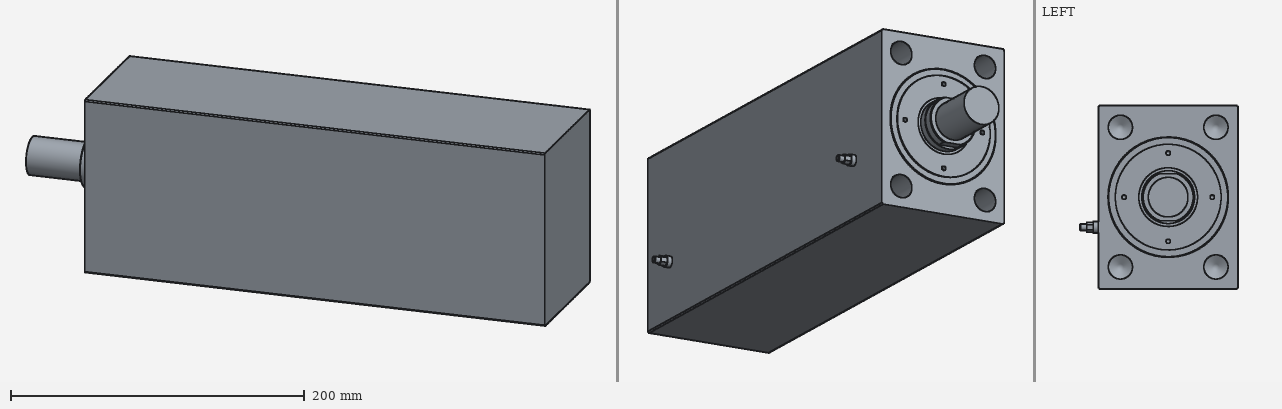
import cadquery as cq
import math


block_length = 331.0
block_width = 95.0
block_height = 125.0
block_edge_chamfer = 1.0

mount_hole_dia = 16.5
mount_hole_depth = 30.0
mount_spacing_y = 65.0
mount_spacing_z = 95.0
drill_tip_angle = 118.0

gland_dia = 82.0
gland_depth = 20.0
gland_rim_chamfer = 0.5
gland_boss_dia = 72.0
gland_boss_height = 1.0
spanner_hole_dia = 3.0
spanner_hole_depth = 5.0
spanner_circle_dia = 60.0
spanner_hole_count = 4

wiper_dia = 40.0
wiper_depth = 5.0

rod_dia = 36.0
rod_reach = 54.0
rod_end_dia = 27.0
rod_end_length = 40.0
rod_neck_dia = 35.0
rod_neck_length = 7.0
rod_neck_chamfer = 0.5
flats_across = 32.0

screw_positions_x = (40.0, 300.0)
screw_z = -20.5
screw_collar_dia = 8.0
screw_collar_height = 3.5
screw_hex_across_flats = 6.0
screw_hex_height = 4.5
screw_tip_dia = 4.5
screw_tip_height = 4.5
screw_tip_chamfer = 0.5

boss_face_x = -gland_boss_height
wiper_end_x = boss_face_x + wiper_depth
rod_tip_x = -rod_reach
rod_neck_x = rod_tip_x + rod_end_length
rod_neck_end_x = rod_neck_x + rod_neck_length


def cylinder_x(diameter, start_x, end_x):
    """Cylinder on the X axis between two X positions."""
    return cq.Workplane("YZ", origin=(start_x, 0, 0)).circle(diameter / 2).extrude(end_x - start_x)


def make_drill(diameter, depth):
    """Blind-hole cutter with a conical end, pointing along +X from the origin."""
    radius = diameter / 2
    tip_length = radius / math.tan(math.radians(drill_tip_angle / 2))
    return (
        cq.Workplane("XY")
        .polyline([
            (0, 0),
            (0, radius),
            (depth, radius),
            (depth + tip_length, 0),
        ])
        .close()
        .revolve(360, (0, 0, 0), (1, 0, 0))
    )


def make_block():
    """Rectangular block with a round pocket for the gland."""
    block = (
        cq.Workplane("XY")
        .box(block_length, block_width, block_height, centered=(False, True, True))
        .edges("|X")
        .chamfer(block_edge_chamfer)
    )
    block = block.cut(cylinder_x(gland_dia, 0, gland_depth))
    drill = make_drill(mount_hole_dia, mount_hole_depth)
    for side_y in (-1, 1):
        for side_z in (-1, 1):
            place = (0, side_y * mount_spacing_y / 2, side_z * mount_spacing_z / 2)
            block = block.cut(drill.translate(place))
    return block


def make_gland():
    """Chamfered plug with a low front boss, a rod bore, a wiper recess and spanner holes."""
    plug = cylinder_x(gland_dia, 0, gland_depth).faces("<X").chamfer(gland_rim_chamfer)
    boss = cylinder_x(gland_boss_dia, boss_face_x, 0)
    gland = (
        plug.union(boss)
        .cut(cylinder_x(rod_dia, boss_face_x, gland_depth))
        .cut(cylinder_x(wiper_dia, boss_face_x, wiper_end_x))
    )
    drill = make_drill(spanner_hole_dia, spanner_hole_depth)
    drill = drill.translate((boss_face_x, spanner_circle_dia / 2, 0))
    for index in range(spanner_hole_count):
        angle = index * 360 / spanner_hole_count
        gland = gland.cut(drill.rotate((0, 0, 0), (1, 0, 0), angle))
    return gland


def make_wiper():
    """Wiper ring around the rod, flush with the boss face."""
    ring = cylinder_x(wiper_dia, boss_face_x, wiper_end_x)
    return ring.cut(cylinder_x(rod_dia, boss_face_x, wiper_end_x))


def make_rod():
    """Rod with a chamfered neck carrying two spanner flats, and a thinner end."""
    shaft = cylinder_x(rod_dia, rod_neck_end_x, gland_depth)
    neck = cylinder_x(rod_neck_dia, rod_neck_x, rod_neck_end_x).faces("<X").chamfer(rod_neck_chamfer)
    flats_limit = (
        cq.Workplane("YZ", origin=(rod_neck_x, 0, 0))
        .rect(rod_neck_dia, flats_across)
        .extrude(rod_neck_length)
    )
    rod_end = cylinder_x(rod_end_dia, rod_tip_x, rod_neck_x)
    return shaft.union(neck.intersect(flats_limit)).union(rod_end)


def make_bleed_screw(position_x):
    """Bleed screw on the +Y side: round collar, hexagon and chamfered tip."""
    hex_base = screw_collar_height
    tip_base = hex_base + screw_hex_height
    collar = cq.Workplane("XY").circle(screw_collar_dia / 2).extrude(hex_base)
    hexagon = (
        cq.Workplane("XY", origin=(0, 0, hex_base))
        .polygon(6, screw_hex_across_flats, circumscribed=True)
        .extrude(screw_hex_height)
    )
    tip = (
        cq.Workplane("XY", origin=(0, 0, tip_base))
        .circle(screw_tip_dia / 2)
        .extrude(screw_tip_height)
        .faces(">Z")
        .chamfer(screw_tip_chamfer)
    )
    upright = collar.union(hexagon).union(tip)
    pointing_y = upright.rotate((0, 0, 0), (1, 0, 0), -90)
    return pointing_y.translate((position_x, block_width / 2, screw_z))


block = make_block()
gland = make_gland()
wiper = make_wiper()
rod = make_rod()
bleed_screws = [make_bleed_screw(position_x) for position_x in screw_positions_x]

result = cq.Compound.makeCompound([
    block.val(),
    gland.val(),
    wiper.val(),
    rod.val(),
    *[screw.val() for screw in bleed_screws],
])